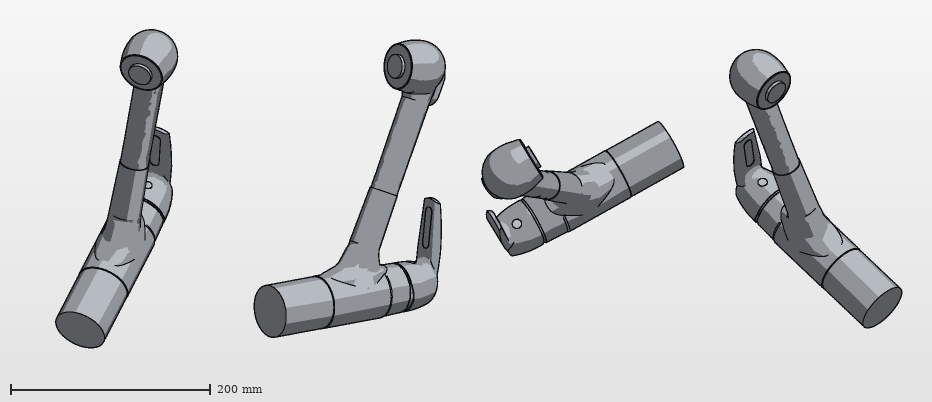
import cadquery as cq
import math


stem_diameter = 53.0
body_diameter = 53.5
body_start = 60.5
body_end = 132.5
seam_groove_width = 0.5
seam_groove_depth = 0.5
collar_start = 134.5
collar_end = 158.5
collar_large_diameter = 52.0
collar_end_diameter = 50.3
core_diameter = 48.0
core_end = 167.5

flare_sections = [
    ((148.0, 8.5), (63.0, 8.5), 25.0),
    ((146.3, 16.8), (65.4, 16.8), 22.5),
    ((143.3, 25.7), (69.3, 26.3), 19.3),
    ((137.7, 28.0), (82.0, 29.5), 18.2),
    ((134.3, 32.5), (92.7, 38.3), 17.0),
    ((133.5, 37.1), (99.7, 48.0), 16.5),
    ((133.0, 43.5), (105.5, 56.0), 16.2),
]
sleeve_top = ((156.7, 96.4), (130.7, 107.8), 14.8)
tube_bottom = ((155.0, 93.8), (130.5, 105.0), 14.2)
tube_top = ((197.5, 185.7), (171.0, 195.8), 14.5)
head_collar_sections = [
    tube_top,
    ((203.5, 199.5), (171.0, 200.5), 16.0),
    ((210.0, 212.3), (163.0, 207.2), 21.2),
]

head_radius = 26.8
head_center_y = 188.0
head_center_z = 224.5
head_tilt = 9.5
face_distance = 27.0
face_radius = 23.0
rim_radius = 22.0
rim_width = 0.8
head_waist_distance = 14.0
head_waist_radius = 26.0
nozzle_radius = 12.0
nozzle_length = 3.5

pad_width = 25.0
pad_length = 40.2
pad_thickness = 7.3
pad_center_y = 204.0
pad_center_z = 202.8
pad_lean = -25.0

handle_radius = 25.0
handle_start = 161.0
handle_end = 204.0
handle_end_radius = 16.8
handle_middle = (23.7, 181.5)
handle_skirt_step = 2.5
skirt_step_top = 8.5
skirt_step_bottom = -5.5
lever_foot_y = 191.5
lever_tip_y = 202.0
lever_top = 86.0
lever_top_width = 25.7
lever_tip_rise = 4.2
lever_root_width = 32.5
lever_root_z = 33.5
lever_blend_radius = 6.7
back_bottom = (187.7, -28.0)
back_middle = (203.3, 34.0)
back_top = (205.8, 86.5)
inlay_width = 10.0
inlay_bottom = 35.7
inlay_top = 78.0
inlay_depth = 0.5
marker_diameter = 9.5
marker_y = 178.5
marker_floor_z = 23.2
trim_size = 28.0
trim_end = 223.5
cutter_height = 2.8


def cylinder(start, end, diameter):
    """Round bar along the body axis."""
    bar = cq.Workplane("XZ", origin=(0, start, 0)).circle(diameter / 2)
    return bar.extrude(start - end)


def section(back, front, half_width):
    """Elliptical wire, symmetric about X = 0, through a back and a front point."""
    center = cq.Vector(0, (back[0] + front[0]) / 2, (back[1] + front[1]) / 2)
    across = cq.Vector(0, back[0] - front[0], back[1] - front[1])
    normal = cq.Vector(1, 0, 0).cross(across)
    return cq.Wire.makeEllipse(
        half_width, across.Length / 2, center, normal, cq.Vector(1, 0, 0)
    )


def loft(sections, ruled=False):
    """Skin a list of elliptical sections."""
    wires = [section(*values) for values in sections]
    return cq.Workplane(obj=cq.Solid.makeLoft(wires, ruled))


def make_body():
    stem = cylinder(0, body_start, stem_diameter)
    sleeve = cylinder(body_start, body_end, body_diameter)
    groove_end = body_start + seam_groove_width
    groove_floor = cylinder(body_start, groove_end, stem_diameter - 2 * seam_groove_depth)
    groove = cylinder(body_start, groove_end, body_diameter).cut(groove_floor)
    collar_profile = [
        (0, body_end),
        (body_diameter / 2, body_end),
        (collar_large_diameter / 2, collar_start),
        (collar_end_diameter / 2, collar_end),
        (0, collar_end),
    ]
    collar = cq.Workplane("XY").polyline(collar_profile).close()
    collar = collar.revolve(360, (0, 0, 0), (0, 1, 0))
    core = cylinder(collar_end, core_end, core_diameter)
    return stem.union(sleeve).cut(groove).union(collar).union(core)


def make_spout():
    flare = loft(flare_sections)
    sleeve = loft([flare_sections[-1], sleeve_top], True)
    tube = loft([tube_bottom, tube_top], True)
    head_collar = loft(head_collar_sections, True)
    return flare.union(sleeve).union(tube).union(head_collar)


def make_head():
    """Ball-backed spray head, revolved about its own axis and tilted upwards."""
    rim_start = rim_width - face_distance
    nozzle_end = face_distance + nozzle_length
    profile = (
        cq.Workplane("XY")
        .moveTo(0, head_radius)
        .threePointArc(
            (head_radius * math.sqrt(0.5), head_radius * math.sqrt(0.5)), (head_radius, 0)
        )
        .threePointArc((head_waist_radius, -head_waist_distance), (face_radius, rim_start))
        .lineTo(rim_radius, rim_start)
        .lineTo(rim_radius, -face_distance)
        .lineTo(nozzle_radius, -face_distance)
        .lineTo(nozzle_radius, -nozzle_end)
        .lineTo(0, -nozzle_end)
        .close()
    )
    head = profile.revolve(360, (0, 0, 0), (0, 1, 0))
    head = head.rotate((0, 0, 0), (1, 0, 0), -head_tilt)
    return head.translate((0, head_center_y, head_center_z))


def make_button_pad():
    pad = cq.Workplane("XZ").slot2D(pad_length, pad_width, 90).extrude(pad_thickness / 2, both=True)
    pad = pad.rotate((0, 0, 0), (1, 0, 0), pad_lean)
    return pad.translate((0, pad_center_y, pad_center_z))


def make_handle_base():
    """Round, slightly tapered base whose lower half of the skirt is set back by a slanted step."""
    step_y = handle_start + handle_skirt_step
    base = (
        cq.Workplane("XY")
        .moveTo(0, handle_start)
        .lineTo(handle_radius, handle_start)
        .threePointArc(handle_middle, (handle_end_radius, handle_end))
        .lineTo(0, handle_end)
        .close()
        .revolve(360, (0, 0, 0), (0, 1, 0))
    )
    relief = (
        cq.Workplane("YZ")
        .moveTo(handle_start - 2.8, skirt_step_top)
        .lineTo(handle_start, skirt_step_top)
        .lineTo(step_y, skirt_step_bottom)
        .lineTo(step_y, -trim_size)
        .lineTo(handle_start - 2.8, -trim_size)
        .close()
        .extrude(trim_size, both=True)
    )
    return base.cut(relief)


def make_lever():
    """Slender plate, tapering upwards in width and thickness."""
    half_root = lever_root_width / 2
    half_top = lever_top_width / 2
    outline = (
        cq.Workplane("XZ", origin=(0, lever_foot_y, 0))
        .moveTo(-half_root, 0)
        .lineTo(half_root, 0)
        .lineTo(half_root, lever_root_z)
        .lineTo(half_top, lever_top - lever_tip_rise)
        .threePointArc((0, lever_top), (-half_top, lever_top - lever_tip_rise))
        .lineTo(-half_root, lever_root_z)
        .close()
        .extrude(-trim_size)
    )
    side = (
        cq.Workplane("YZ")
        .moveTo(lever_foot_y, 0)
        .lineTo(lever_tip_y, lever_top)
        .lineTo(trim_end, lever_top)
        .lineTo(trim_end, 0)
        .close()
        .extrude(trim_size, both=True)
    )
    return outline.intersect(side)


def make_inlay():
    """Shallow round-ended recess along the front face of the lever."""
    lean = math.degrees(math.atan2(lever_tip_y - lever_foot_y, lever_top))
    slot = cq.Workplane("XZ", origin=(0, inlay_depth, (inlay_bottom + inlay_top) / 2))
    slot = slot.slot2D(inlay_top - inlay_bottom, inlay_width, 90).extrude(cutter_height)
    return slot.rotate((0, 0, 0), (1, 0, 0), -lean).translate((0, lever_foot_y, 0))


def make_marker():
    """Shallow round recess on top of the base."""
    marker = cq.Workplane("XY", origin=(0, marker_y, marker_floor_z))
    return marker.circle(marker_diameter / 2).extrude(cutter_height)


def make_handle():
    """Base and lever blended together, with one curved back face and shallow inlays."""
    handle = make_handle_base().union(make_lever())
    crease_low = (-trim_size, 190.0, 8.5)
    crease_high = (trim_size, 198.3, 26.5)
    crease = cq.selectors.BoxSelector(crease_low, crease_high)
    handle = handle.edges(crease).fillet(lever_blend_radius)
    back = (
        cq.Workplane("YZ")
        .moveTo(*back_bottom)
        .threePointArc(back_middle, back_top)
        .lineTo(trim_end, back_top[1])
        .lineTo(trim_end, back_bottom[1])
        .close()
        .extrude(trim_size, both=True)
    )
    return handle.cut(back).cut(make_inlay()).cut(make_marker())


result = (
    make_body()
    .union(make_spout())
    .union(make_head())
    .union(make_button_pad())
    .union(make_handle())
)